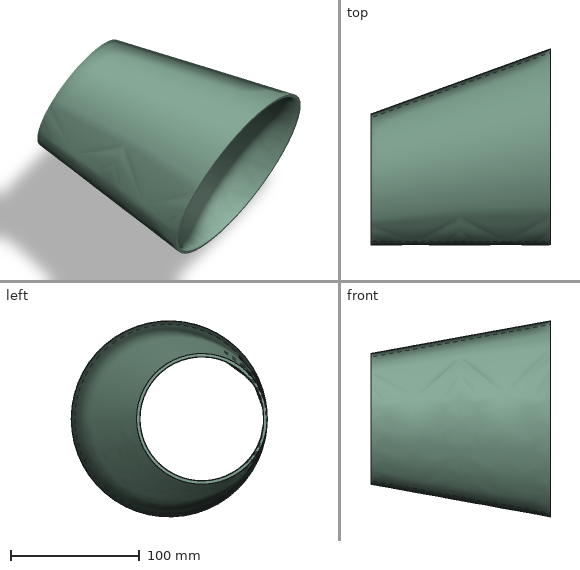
import cadquery as cq

length = 139.6
large_diameter = 152.3
small_diameter = 101.5
wall = 2.7

large_radius = large_diameter / 2
small_radius = small_diameter / 2
offset = large_radius - small_radius


def eccentric_cone(inset):
    """Straight loft from the small end to the large end, both radii reduced by inset."""
    return (
        cq.Workplane("YZ")
        .center(-offset, 0)
        .circle(small_radius - inset)
        .workplane(offset=length)
        .center(offset, 0)
        .circle(large_radius - inset)
        .loft(ruled=True, combine=True)
    )


outer_body = eccentric_cone(0)
bore = eccentric_cone(wall)
result = outer_body.cut(bore)